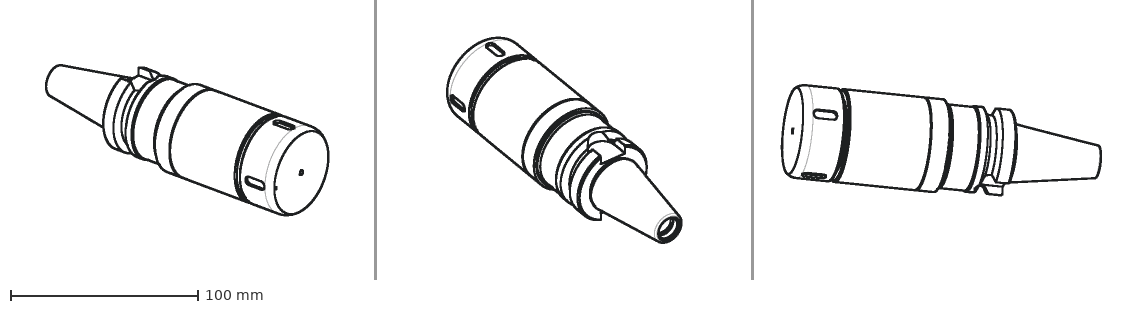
import cadquery as cq
import math

overall_length = 168.4

taper_length = 48.3
taper_small_radius = 9.0
taper_large_radius = 16.0
taper_tip_round = 1.0
relief_radius = 15.5
edge_chamfer = 0.8

flange_start = 50.2
flange_radius = 23.0
flange_rim_end = 58.0
groove_radius = 19.2
groove_start = 60.3
groove_end = 63.7
collar_start = 66.2
collar_end = 70.2
collar_step_length = 0.8

neck_radius = 22.5
neck_end = 85.2
shoulder_start = 86.5
shoulder_radius = 23.4
sleeve_start = 87.7
sleeve_radius = 50.0 / 2
sleeve_end = 143.1
seam_position = 97.8
seam_width = 0.5
seam_depth = 0.2

gap_radius = 40.0 / 2
nut_start = 145.2
nut_round_start = 163.0
nut_face = 168.0
nut_face_radius = 23.2
nut_round_bulge = 0.42

spanner_slot_count = 4
spanner_slot_start = 149.7
spanner_slot_end = 162.7
spanner_slot_width = 5.0
spanner_slot_depth = 1.5

pip_diameter = 1.3
pip_offset = 22.4
pip_root = 1.7

drive_slot_width = 16.0
drive_slot_floor = 16.5
drive_slot_end = 67.5

mouth_radius = 14.1 / 2
bore_radius = 12.5 / 2
thread_relief_radius = 12.0 / 2
thread_radius = 10.5 / 2
cone_end_radius = 6.0 / 2
coolant_radius = 2.7 / 2
mouth_depth = 0.8
bore_depth = 4.4
thread_chamfer_depth = 5.4
thread_depth = 23.5
cone_depth = 25.0



def make_body():
    tip_arc_inset = taper_tip_round * (1 - math.sqrt(0.5))
    round_mid_x = (nut_round_start + nut_face) / 2 + nut_round_bulge
    round_mid_radius = (sleeve_radius + nut_face_radius) / 2 + nut_round_bulge
    profile = (
        cq.Workplane("XY")
        .lineTo(0, taper_small_radius - taper_tip_round)
        .threePointArc(
            (tip_arc_inset, taper_small_radius - tip_arc_inset),
            (taper_tip_round, taper_small_radius),
        )
        .lineTo(taper_length, taper_large_radius)
        .lineTo(taper_length + edge_chamfer, relief_radius)
        .lineTo(flange_start, relief_radius)
        .lineTo(flange_start, flange_radius - edge_chamfer)
        .lineTo(flange_start + edge_chamfer, flange_radius)
        .lineTo(flange_rim_end, flange_radius)
        .lineTo(groove_start, groove_radius)
        .lineTo(groove_end, groove_radius)
        .lineTo(collar_start, flange_radius)
        .lineTo(collar_end, flange_radius)
        .lineTo(collar_end + collar_step_length, neck_radius)
        .lineTo(neck_end, neck_radius)
        .lineTo(shoulder_start, shoulder_radius)
        .lineTo(sleeve_start, shoulder_radius)
        .lineTo(sleeve_start, sleeve_radius)
        .lineTo(sleeve_end - edge_chamfer, sleeve_radius)
        .lineTo(sleeve_end, sleeve_radius - edge_chamfer)
        .lineTo(sleeve_end, gap_radius)
        .lineTo(nut_start, gap_radius)
        .lineTo(nut_start, sleeve_radius - edge_chamfer)
        .lineTo(nut_start + edge_chamfer, sleeve_radius)
        .lineTo(nut_round_start, sleeve_radius)
        .threePointArc((round_mid_x, round_mid_radius), (nut_face, nut_face_radius))
        .lineTo(nut_face, 0)
        .close()
    )
    return profile.revolve(360, (0, 0, 0), (1, 0, 0))


def make_bore():
    profile = (
        cq.Workplane("XY")
        .lineTo(0, mouth_radius)
        .lineTo(mouth_depth, bore_radius)
        .lineTo(bore_depth, bore_radius)
        .lineTo(bore_depth, thread_relief_radius)
        .lineTo(thread_chamfer_depth, thread_radius)
        .lineTo(thread_depth, thread_radius)
        .lineTo(cone_depth, cone_end_radius)
        .lineTo(cone_depth, coolant_radius)
        .lineTo(overall_length, coolant_radius)
        .lineTo(overall_length, 0)
        .close()
    )
    return profile.revolve(360, (0, 0, 0), (1, 0, 0))


def make_seam():
    start_plane = cq.Workplane("YZ", origin=(seam_position - seam_width / 2, 0, 0))
    return start_plane.circle(sleeve_radius).circle(sleeve_radius - seam_depth).extrude(seam_width)


def make_drive_slot():
    """Flat-floored slot on the +Z side: open towards the taper, round at its far end."""
    end_radius = drive_slot_width / 2
    straight_end = drive_slot_end - end_radius
    return (
        cq.Workplane("XY", origin=(0, 0, drive_slot_floor))
        .moveTo(flange_start, -end_radius)
        .lineTo(straight_end, -end_radius)
        .threePointArc((drive_slot_end, 0), (straight_end, end_radius))
        .lineTo(flange_start, end_radius)
        .close()
        .extrude(sleeve_radius - drive_slot_floor)
    )


def make_spanner_slot():
    slot_middle = (spanner_slot_start + spanner_slot_end) / 2
    slot_floor = sleeve_radius - spanner_slot_depth
    return (
        cq.Workplane("XY", origin=(slot_middle, 0, slot_floor))
        .slot2D(spanner_slot_end - spanner_slot_start, spanner_slot_width)
        .extrude(sleeve_radius)
    )


def make_pip():
    pip_start = nut_face - pip_root
    return (
        cq.Workplane("YZ", origin=(pip_start, -pip_offset, 0))
        .circle(pip_diameter / 2)
        .extrude(overall_length - pip_start)
    )


def turn_about_axis(shape, angle):
    return shape.rotate((0, 0, 0), (1, 0, 0), angle)


result = make_body().cut(make_bore()).cut(make_seam())

for side_angle in (0, 180):
    result = result.cut(turn_about_axis(make_drive_slot(), side_angle))

for slot_index in range(spanner_slot_count):
    slot_angle = slot_index * 360 / spanner_slot_count
    result = result.cut(turn_about_axis(make_spanner_slot(), slot_angle))

result = result.union(make_pip())